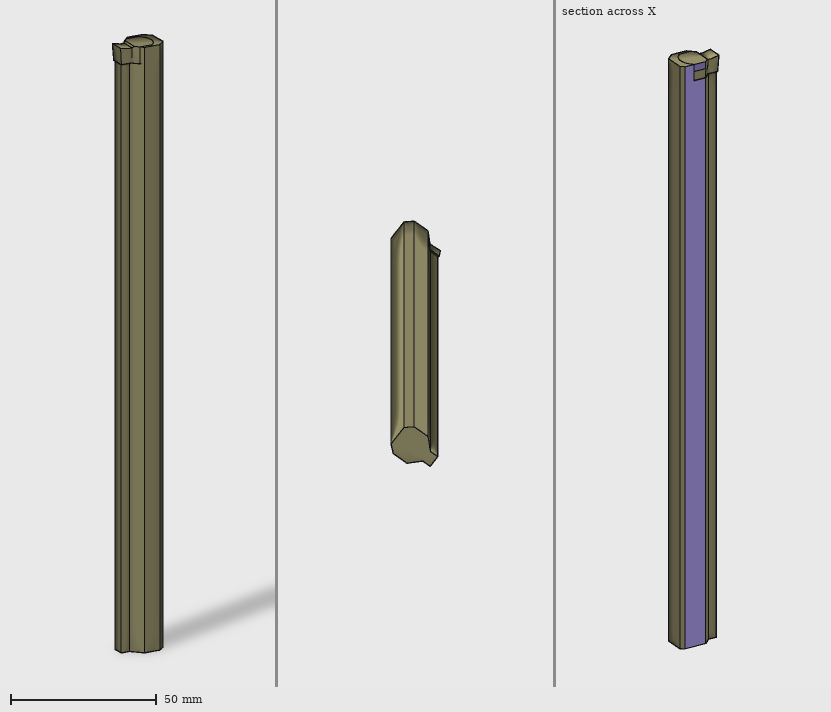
import cadquery as cq

rod_length = 220.0
rod_width = 12.0
rod_half_width = rod_width / 2
rod_back_half_width = 3.7
back_chamfer_depth = 2.6
side_front_y = -8.5
rib_half_width = 2.2
rib_front_y = -15.6

rib_root_y = side_front_y - (rod_half_width - rib_half_width)

cap_height = 6.2
cap_rim_height = 2.2
cap_draft_angle = 2
cap_half_width = 4.8
cap_back_y = -2.6
cap_shoulder_y = -5.0
tongue_half_width = 2.9
tongue_tip_y = -16.3
tongue_foot_y = -15.8
groove_y = -13.0
groove_depth = 0.7
cap_edge_chamfer = 0.7
cap_edge_chamfer_drop = 0.55

cap_bottom_z = rod_length - cap_height
rim_bottom_z = rod_length - cap_rim_height
groove_z = rod_length - groove_depth
chamfer_bottom_z = rod_length - cap_edge_chamfer_drop


def front_chamfer_y(x):
    """Y of the rod's front chamfer plane at half-width x."""
    return side_front_y - (rod_half_width - x)


tongue_root_y = front_chamfer_y(tongue_half_width)
chamfer_top_y = tongue_root_y + cap_edge_chamfer


def cap_outline(z):
    """Round-backed plug with its tongue, as a wire at height z."""
    plug_front_y = front_chamfer_y(cap_half_width)
    return (
        cq.Workplane("XY", origin=(0, 0, z))
        .moveTo(-cap_half_width, cap_shoulder_y)
        .threePointArc((0, cap_back_y), (cap_half_width, cap_shoulder_y))
        .lineTo(cap_half_width, plug_front_y)
        .lineTo(tongue_half_width, tongue_root_y)
        .lineTo(tongue_half_width, tongue_tip_y)
        .lineTo(-tongue_half_width, tongue_tip_y)
        .lineTo(-tongue_half_width, tongue_root_y)
        .lineTo(-cap_half_width, plug_front_y)
        .close()
    )


def make_cap():
    """Straight rim over a drafted base, trimmed to the grooved side profile."""
    rim = cap_outline(rim_bottom_z).extrude(cap_rim_height)
    base = cap_outline(rim_bottom_z).extrude(cap_bottom_z - rim_bottom_z, taper=cap_draft_angle)
    side_profile = (
        cq.Workplane("YZ")
        .polyline([
            (0, cap_bottom_z),
            (tongue_foot_y, cap_bottom_z),
            (tongue_tip_y, rod_length),
            (groove_y, groove_z),
            (tongue_root_y, chamfer_bottom_z),
            (chamfer_top_y, rod_length),
            (0, rod_length),
        ])
        .close()
        .extrude(cap_half_width, both=True)
    )
    return rim.union(base).intersect(side_profile)


def make_rod():
    """Full-length bar with a straight-walled recess for the cap."""
    right_side = [
        (rod_back_half_width, 0),
        (rod_half_width, -back_chamfer_depth),
        (rod_half_width, side_front_y),
        (rib_half_width, rib_root_y),
        (rib_half_width, rib_front_y),
    ]
    left_side = [(-x, y) for x, y in reversed(right_side)]
    bar = cq.Workplane("XY").polyline(right_side + left_side).close().extrude(rod_length)
    recess = cap_outline(cap_bottom_z).extrude(cap_height)
    return bar.cut(recess)


rod = make_rod()
cap = make_cap()

result = cq.Compound.makeCompound([rod.solids().val(), cap.solids().val()])